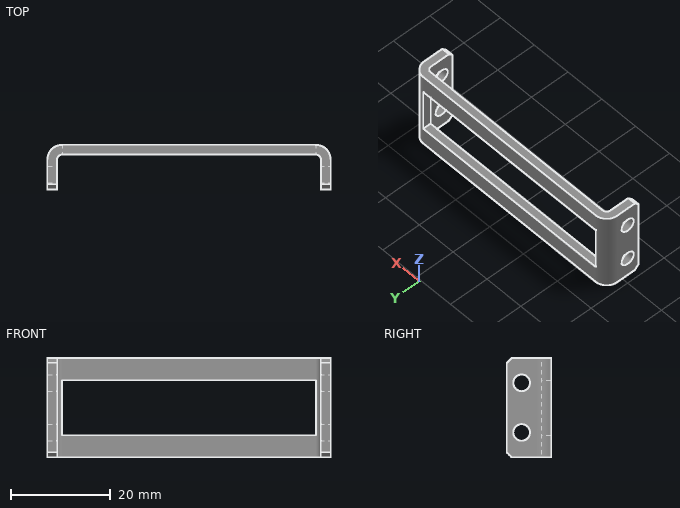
import cadquery as cq

length = 57.0
depth = 9.0
height = 20.0

thickness = 2.0
inner_radius = 1.0
outer_radius = inner_radius + thickness

rail_height = 4.5
window_length = length - 2 * outer_radius
window_height = height - 2 * rail_height

hole_diameter = 3.3
hole_spacing = 10.0
hole_edge_distance = 3.0
corner_chamfer = 1.0


def bent_strip():
    """U-shaped strip: back along X at +Y, legs reaching toward -Y."""
    outer = (
        cq.Workplane("XY")
        .box(length, depth, height)
        .edges("|Z and >Y")
        .fillet(outer_radius)
    )
    inner = (
        cq.Workplane("XY")
        .box(length - 2 * thickness, depth, height)
        .edges("|Z and >Y")
        .fillet(inner_radius)
        .translate((0, -thickness, 0))
    )
    return outer.cut(inner)


def window():
    """Opening through the back, spanning its flat length between the bends."""
    return cq.Workplane("XY").box(window_length, 2 * depth, window_height)


def leg_holes():
    """Two holes running along X through both legs."""
    hole_y = -depth / 2 + hole_edge_distance
    return (
        cq.Workplane("YZ")
        .pushPoints([(hole_y, side * hole_spacing / 2) for side in (-1, 1)])
        .circle(hole_diameter / 2)
        .extrude(length / 2, both=True)
    )


strip = bent_strip().faces("<Y").edges("|X").chamfer(corner_chamfer)

result = strip.cut(window()).cut(leg_holes())